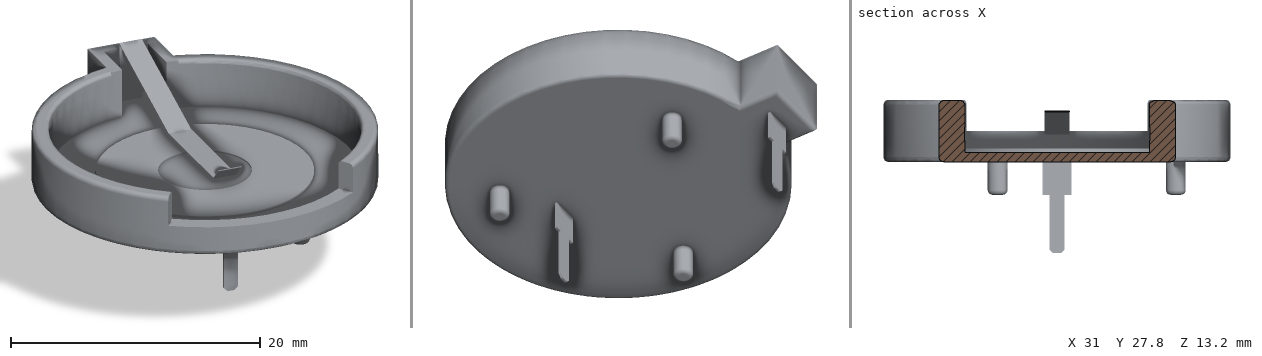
import cadquery as cq
import math

cup_radius = 13.88
bore_radius = 12.52
cup_height = 4.95
floor_top = 0.8
outer_rounding = 0.37
rim_inner_rounding = 0.3

opening_half_angle = 35.4
opening_sill = 2.48

housing_end = -17.1
housing_width = 5.82
housing_wall = 1.0

plate_diameter = 17.5
plate_top = 1.05
recess_diameter = 7.5
recess_depth = 0.12

peg_diameter = 1.58
peg_circle_radius = 9.5
peg_length = 2.63
peg_rounding = 0.37
peg_angles = (30, 150, 270)

terminal_thickness = 0.2
terminal_width = 2.35
tail_width = 1.25
terminal_shoulder = -2.63
terminal_bottom = -7.3
tail_chamfer = 0.3
near_terminal_x = -15.18
far_terminal_x = 5.2

spring_width = 1.98
spring_back = -15.18
spring_thickness = 0.1
spring_top = 5.95
spring_bend_x = -5.1
spring_flat_end = 4.03
spring_flat_top = 2.3
spring_tip_x = 5.08
spring_tip_top = 3.4


def cylinder(radius, bottom, top):
    return cq.Workplane("XY").workplane(offset=bottom).circle(radius).extrude(top - bottom)


def block(x_start, x_end, width, bottom, top):
    return (
        cq.Workplane("XY")
        .box(x_end - x_start, width, top - bottom, centered=(False, True, False))
        .translate((x_start, 0, bottom))
    )


def make_body():
    cup = cylinder(cup_radius, 0, cup_height).faces(">Z").edges().fillet(outer_rounding)
    housing = block(housing_end, 0, housing_width, 0, cup_height)
    body = cup.union(housing).faces("<Z").edges().fillet(outer_rounding)

    bore = cylinder(bore_radius, floor_top, cup_height)
    rounded_mouth = (
        cylinder(bore_radius + rim_inner_rounding, cup_height - rim_inner_rounding, cup_height)
        .cut(rim_rounding_ring())
        .cut(housing)
    )
    pocket = block(
        housing_end + housing_wall, 0, housing_width - 2 * housing_wall, floor_top, cup_height
    )
    return body.cut(bore).cut(rounded_mouth).cut(pocket).cut(make_opening())


def rim_rounding_ring():
    """Ring of material left under the rounded inner edge of the rim."""
    start_z = cup_height - rim_inner_rounding
    outer = bore_radius + rim_inner_rounding
    arc_offset = rim_inner_rounding * math.sqrt(0.5)
    return (
        cq.Workplane("XZ")
        .moveTo(bore_radius, start_z)
        .threePointArc((outer - arc_offset, start_z + arc_offset), (outer, cup_height))
        .lineTo(outer, start_z)
        .close()
        .revolve(360, (0, 0, 0), (0, 1, 0))
    )


def make_opening():
    reach = 2 * cup_radius
    half_span = reach * math.tan(math.radians(opening_half_angle))
    return (
        cq.Workplane("XY")
        .workplane(offset=opening_sill)
        .polyline([(0, 0), (reach, -half_span), (reach, half_span)])
        .close()
        .extrude(cup_height - opening_sill)
    )


def make_plate():
    plate = cylinder(plate_diameter / 2, floor_top, plate_top)
    return plate.cut(cylinder(recess_diameter / 2, plate_top - recess_depth, plate_top))


def make_peg(angle):
    peg = cylinder(peg_diameter / 2, -peg_length, floor_top).faces("<Z").edges().fillet(peg_rounding)
    return peg.translate((peg_circle_radius, 0, 0)).rotate((0, 0, 0), (0, 0, 1), angle)


def make_terminal(x_center):
    x_start = x_center - terminal_thickness / 2
    x_end = x_start + terminal_thickness
    shoulder = block(x_start, x_end, terminal_width, terminal_shoulder, floor_top)
    tail = block(x_start, x_end, tail_width, terminal_bottom, terminal_shoulder)
    return shoulder.union(tail.faces("<Z").edges("|X").chamfer(tail_chamfer))


def make_spring():
    """Upright leg, sloping arm, level contact and raised tip in one strip."""
    top_line = [
        (spring_back, spring_top),
        (spring_bend_x, spring_flat_top),
        (spring_flat_end, spring_flat_top),
        (spring_tip_x, spring_tip_top),
    ]
    bottom_line = [(x, z - spring_thickness) for x, z in reversed(top_line)]
    strip = (
        cq.Workplane("XZ")
        .polyline(top_line + bottom_line)
        .close()
        .extrude(spring_width / 2, both=True)
    )
    leg = block(spring_back, spring_back + spring_thickness, spring_width, 0, spring_top - spring_thickness)
    return strip.union(leg)


result = make_body().union(make_plate()).union(make_spring())
for peg_angle in peg_angles:
    result = result.union(make_peg(peg_angle))
for terminal_x in (near_terminal_x, far_terminal_x):
    result = result.union(make_terminal(terminal_x))